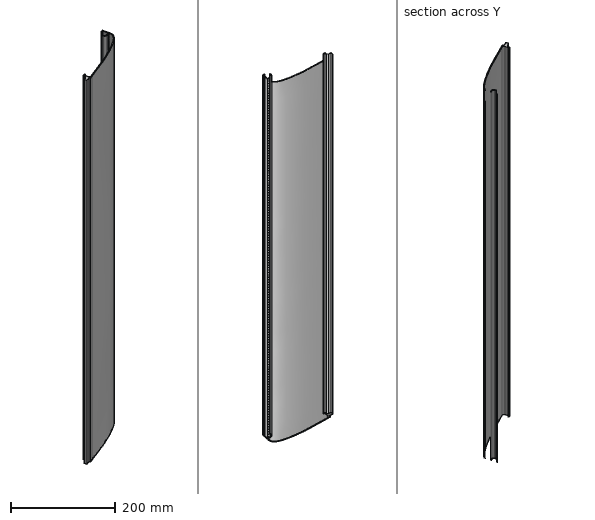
import cadquery as cq
import math

depth = 45.0
width = 140.0
length = 999.0

wall = 2.0

lip_drop = 5.0
stem_x = 15.0
hook_tip_x = 6.0
hook_depth = 14.0
hook_radius = 6.0

foot_height = 9.0
foot_left = 36.0
foot_right = 42.0
arm_left = 29.0
arm_lip_height = 5.0
foot_chamfer = 3.0
rail_fillet = 4.0

arm_bottom = foot_height - width
arm_top = arm_bottom + wall
bow_end = arm_top + rail_fillet

bow_points = [
    (stem_x, 0),
    (23.0, -1.0),
    (29.0, -6.0),
    (33.0, -13.0),
    (37.0, -26.0),
    (41.0, -47.0),
    (44.0, -82.0),
    (depth, bow_end),
]
right = (1, 0)
left = (-1, 0)
down = (0, -1)
up = (0, 1)
inner_steps = 20


def inner_bow_points():
    """Points one wall thickness inside the outer curve, from the flange to the rail."""
    outer = cq.Edge.makeSpline(
        [cq.Vector(*point) for point in bow_points],
        tangents=[cq.Vector(*right), cq.Vector(*down)],
        scale=False,
    )
    points = []
    for step in range(inner_steps + 1):
        spot = outer.positionAt(step / inner_steps)
        along = outer.tangentAt(step / inner_steps)
        points.append((spot.x + wall * along.y, spot.y - wall * along.x))
    return points


def draw_rail(sketch):
    """From the outer wall at the arm underside, round the foot, arm and lip, to the inner wall."""
    corner_offset = rail_fillet * (1 - math.sqrt(0.5))
    return (
        sketch.lineTo(foot_right, arm_bottom)
        .lineTo(foot_right, -width)
        .lineTo(foot_left, -width)
        .lineTo(foot_left, arm_bottom - foot_chamfer)
        .lineTo(foot_left - foot_chamfer, arm_bottom)
        .lineTo(arm_left, arm_bottom)
        .lineTo(arm_left, arm_bottom + arm_lip_height)
        .lineTo(arm_left + wall, arm_bottom + arm_lip_height)
        .lineTo(arm_left + wall, arm_top)
        .lineTo(depth - wall - rail_fillet, arm_top)
        .threePointArc(
            (depth - wall - corner_offset, arm_top + corner_offset),
            (depth - wall, bow_end),
        )
    )


def draw_hook(sketch):
    """From the flange underside, down the stem, round the hook and the end lip of the flange."""
    corner_offset = hook_radius * (1 - math.sqrt(0.5))
    inner_radius = hook_radius - wall
    inner_offset = inner_radius * (1 - math.sqrt(0.5))
    stem_left = stem_x - wall
    foot_top = wall - hook_depth
    return (
        sketch.lineTo(stem_x, hook_radius - hook_depth)
        .threePointArc(
            (stem_x - corner_offset, corner_offset - hook_depth),
            (stem_x - hook_radius, -hook_depth),
        )
        .lineTo(hook_tip_x, -hook_depth)
        .lineTo(hook_tip_x, foot_top)
        .lineTo(stem_left - inner_radius, foot_top)
        .threePointArc(
            (stem_left - inner_offset, foot_top + inner_offset),
            (stem_left, foot_top + inner_radius),
        )
        .lineTo(stem_left, -wall)
        .lineTo(wall, -wall)
        .lineTo(wall, -lip_drop)
        .lineTo(0, -lip_drop)
    )


outline = (
    cq.Workplane("XY")
    .moveTo(0, 0)
    .lineTo(*bow_points[0])
    .spline(bow_points[1:], tangents=[right, down], scale=False, includeCurrent=True)
    .lineTo(depth, arm_bottom)
)
outline = draw_rail(outline)
outline = outline.spline(inner_bow_points()[-2::-1], tangents=[up, left], scale=False, includeCurrent=True)
outline = draw_hook(outline)

result = outline.close().extrude(length).translate((-depth / 2, width / 2, 0))